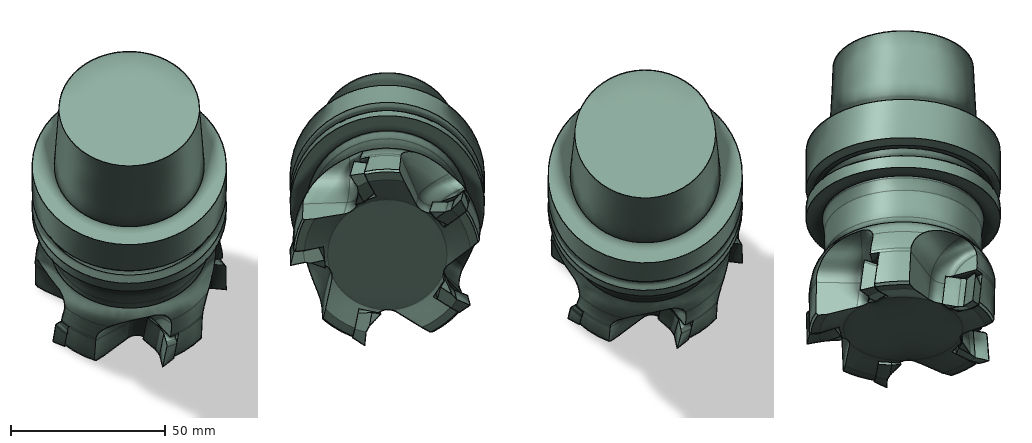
import cadquery as cq
import math


TOTAL_HEIGHT = 102.9
SHANK_TOP_DIAMETER = 45.6
SHANK_BASE_DIAMETER = 48.7
FLANGE_DIAMETER = 63.0
FLANGE_TOP = 71.1
FLANGE_BOTTOM = 45.1

GROOVE_DIAMETER = 55.0
GROOVE_TOP = 55.0
GROOVE_BOTTOM = 50.9
GROOVE_BEVEL_HEIGHT = 1.4
GROOVE_BEVEL_WIDTH = 2.3

NECK_TOP_DIAMETER = 52.5
NECK_DIAMETER = 51.0
NECK_TAPER_TOP = 44.3
NECK_TAPER_BOTTOM = 40.0
NECK_BOTTOM = 29.8

SHOULDER_TOP_RADIUS = 25.8
SHOULDER_TOP = 27.7
SHOULDER_MIDDLE = (28.2, 25.0)
SHOULDER_BOTTOM_RADIUS = 29.6
SHOULDER_BOTTOM = 21.6
HEAD_RADIUS = 30.6
HEAD_BOTTOM = 14.7
LAND_RADIUS = 30.5
LAND_TOP = 13.7
LAND_BOTTOM = 2.1
END_RADIUS = 29.8
END_HEIGHT = 1.1
DISH_OUTER_RADIUS = 27.1
DISH_INNER_RADIUS = 19.3
DISH_HEIGHT = 3.0

TOOTH_COUNT = 5
FIRST_TOOTH_ANGLE = 36.0
AXIAL_RAKE = 7.6
FLUTE_TURN = 17.2
FLUTE_CORNER = (17.2, -2.9)
FLUTE_RUNOUT_START = 10.7
FLUTE_RUNOUT_RADIUS = 14.9
FLUTE_FILLET = 5.1
CLEARANCE = 41.2

CUTTING_RADIUS = FLANGE_DIAMETER / 2
INSERT_INNER_RADIUS = 20.4
INSERT_THICKNESS = 4.2
INSERT_HEIGHT = 11.7
INSERT_INNER_BOTTOM = 1.9
INSERT_INNER_TOP = 13.4
INSERT_CORNER_RADIUS = 1.2
INSERT_RELIEF = 19.0
RAKE_FLOOR_OUTER = (26.8, 0.6)
RAKE_FLOOR_INNER_RADIUS = 24.7
RAKE_RISE = 3.0


def make_turned_body():
    flange_radius = FLANGE_DIAMETER / 2
    groove_radius = GROOVE_DIAMETER / 2
    bevel_radius = flange_radius - GROOVE_BEVEL_WIDTH
    neck_radius = NECK_DIAMETER / 2
    return (
        cq.Workplane("XZ")
        .moveTo(0, TOTAL_HEIGHT)
        .lineTo(SHANK_TOP_DIAMETER / 2, TOTAL_HEIGHT)
        .lineTo(SHANK_BASE_DIAMETER / 2, FLANGE_TOP)
        .lineTo(flange_radius, FLANGE_TOP)
        .lineTo(flange_radius, GROOVE_TOP + GROOVE_BEVEL_HEIGHT)
        .lineTo(bevel_radius, GROOVE_TOP)
        .lineTo(groove_radius, GROOVE_TOP)
        .lineTo(groove_radius, GROOVE_BOTTOM)
        .lineTo(bevel_radius, GROOVE_BOTTOM)
        .lineTo(flange_radius, GROOVE_BOTTOM - GROOVE_BEVEL_HEIGHT)
        .lineTo(flange_radius, FLANGE_BOTTOM)
        .lineTo(NECK_TOP_DIAMETER / 2, FLANGE_BOTTOM)
        .lineTo(NECK_TOP_DIAMETER / 2, NECK_TAPER_TOP)
        .lineTo(neck_radius, NECK_TAPER_BOTTOM)
        .lineTo(neck_radius, NECK_BOTTOM)
        .tangentArcPoint((SHOULDER_TOP_RADIUS, SHOULDER_TOP), relative=False)
        .threePointArc(SHOULDER_MIDDLE, (SHOULDER_BOTTOM_RADIUS, SHOULDER_BOTTOM))
        .tangentArcPoint((HEAD_RADIUS, HEAD_BOTTOM), relative=False)
        .lineTo(LAND_RADIUS, LAND_TOP)
        .lineTo(LAND_RADIUS, LAND_BOTTOM)
        .lineTo(END_RADIUS, END_HEIGHT)
        .lineTo(DISH_OUTER_RADIUS, END_HEIGHT)
        .lineTo(DISH_INNER_RADIUS, DISH_HEIGHT)
        .lineTo(0, DISH_HEIGHT)
        .close()
        .revolve(360, (0, 0), (0, 1))
    )


def lean_back(shape):
    return shape.rotate((0, 0, 0), (1, 0, 0), -AXIAL_RAKE)


def place_on_tooth(shape, index):
    angle = FIRST_TOOTH_ANGLE + index * 360 / TOOTH_COUNT
    return shape.rotate((0, 0, 0), (0, 0, 1), angle)


def make_flute():
    """Space of one chip flute: a straight wall that bends outward at its upper end."""
    turn = math.radians(FLUTE_TURN)
    across = (math.cos(turn), math.sin(turn), 0)
    along = (math.sin(turn), -math.cos(turn), 0)
    plane = cq.Plane(origin=(*FLUTE_CORNER, 0), xDir=across, normal=along)
    bend_middle = (
        FLUTE_RUNOUT_RADIUS * (1 - math.cos(math.pi / 4)),
        FLUTE_RUNOUT_START + FLUTE_RUNOUT_RADIUS * math.sin(math.pi / 4),
    )
    bend_end = (FLUTE_RUNOUT_RADIUS, FLUTE_RUNOUT_START + FLUTE_RUNOUT_RADIUS)
    flute = (
        cq.Workplane(plane)
        .moveTo(0, -CLEARANCE)
        .lineTo(0, FLUTE_RUNOUT_START)
        .threePointArc(bend_middle, bend_end)
        .lineTo(CLEARANCE, bend_end[1])
        .lineTo(CLEARANCE, -CLEARANCE)
        .close()
        .extrude(CLEARANCE)
    )
    back_wall = flute.faces(cq.selectors.DirectionMinMaxSelector(cq.Vector(*along), False))
    corner_edges = back_wall.edges(
        cq.selectors.DirectionMinMaxSelector(cq.Vector(*across), False)
    ).add(back_wall.edges("%CIRCLE"))
    return lean_back(corner_edges.fillet(FLUTE_FILLET))


def make_insert_seat():
    """Open-fronted recess that holds one insert, with a flat ceiling."""
    seat = lean_back(
        cq.Workplane("XY")
        .box(CLEARANCE, RAKE_RISE + INSERT_THICKNESS, 2 * CLEARANCE, centered=(False, False, True))
        .translate((INSERT_INNER_RADIUS, -RAKE_RISE, 0))
    )
    below_ceiling = (
        cq.Workplane("XY", origin=(0, 0, LAND_TOP))
        .rect(4 * CLEARANCE, 4 * CLEARANCE)
        .extrude(-2 * CLEARANCE)
    )
    return seat.intersect(below_ceiling)


def insert_outline():
    """Outline of the insert along its cutting edges, in the radial plane."""
    return (
        cq.Workplane("XZ")
        .moveTo(CUTTING_RADIUS, 0)
        .lineTo(CUTTING_RADIUS, INSERT_HEIGHT)
        .lineTo(RAKE_FLOOR_OUTER[0], INSERT_HEIGHT)
        .lineTo(INSERT_INNER_RADIUS, INSERT_INNER_TOP)
        .lineTo(INSERT_INNER_RADIUS, INSERT_INNER_BOTTOM)
        .lineTo(RAKE_FLOOR_OUTER[0], 0)
        .close()
    )


def make_insert():
    """One cutting insert: relieved behind the edge, with a bent rake face in front."""
    draw_in = INSERT_THICKNESS * math.tan(math.radians(INSERT_RELIEF))
    edge_outline = insert_outline().wires().val()
    seat_outline = edge_outline.offset2D(-draw_in, "intersection")[0]
    seat_outline = seat_outline.translate(cq.Vector(0, INSERT_THICKNESS, 0))
    back = cq.Workplane(cq.Solid.makeLoft([edge_outline, seat_outline], True))
    front = insert_outline().extrude(RAKE_RISE)
    in_front_of_rake = (
        cq.Workplane("XY", origin=(0, 0, -CLEARANCE))
        .polyline([
            (CUTTING_RADIUS, 0),
            RAKE_FLOOR_OUTER,
            (RAKE_FLOOR_INNER_RADIUS, 0),
            (INSERT_INNER_RADIUS, -RAKE_RISE),
            (INSERT_INNER_RADIUS, -CLEARANCE),
            (CUTTING_RADIUS, -CLEARANCE),
        ])
        .close()
        .extrude(2 * CLEARANCE)
    )
    sharp_insert = back.union(front).cut(in_front_of_rake)
    upper_outer_corner = cq.selectors.NearestToPointSelector(
        (CUTTING_RADIUS, INSERT_THICKNESS / 2, INSERT_HEIGHT)
    )
    return lean_back(sharp_insert.edges(upper_outer_corner).fillet(INSERT_CORNER_RADIUS))


flute = make_flute()
insert_seat = make_insert_seat()
insert = make_insert()

cutter_body = make_turned_body()
inserts = []
for tooth in range(TOOTH_COUNT):
    cutter_body = cutter_body.cut(place_on_tooth(flute, tooth))
    inserts.append(place_on_tooth(insert, tooth))
for tooth in range(TOOTH_COUNT):
    cutter_body = cutter_body.cut(place_on_tooth(insert_seat, tooth))

result = cq.Compound.makeCompound([
    cutter_body.solids().val(),
    *[placed_insert.solids().val() for placed_insert in inserts],
])